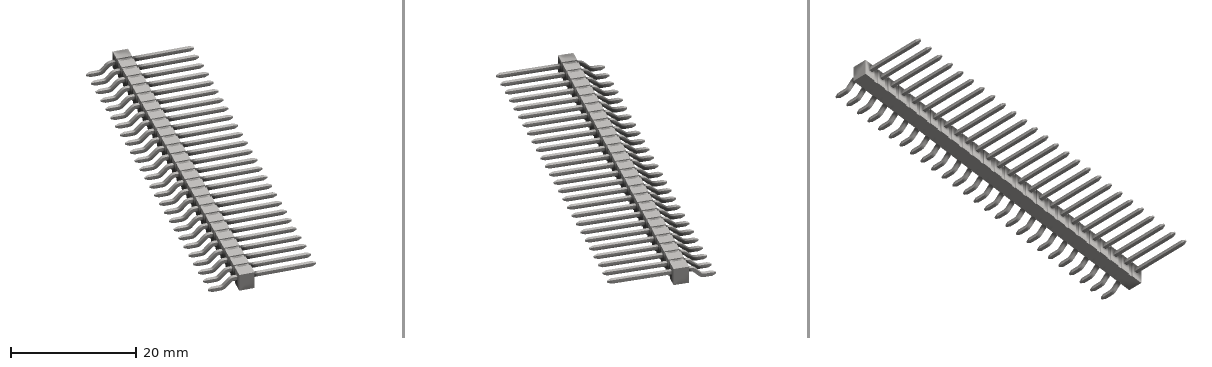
import cadquery as cq
import math

cell_count = 26
length = 66.05
pitch = length / cell_count
depth = 2.6
height = 3.05
cell_width = 1.8
web_width = pitch - cell_width
web_top_inset = 0.2
web_side_inset = 0.1

pin_size = 0.635
tip_size = 0.25
tip_length = 0.65
overall_depth = 18.0
front_reach = 4.8
straight_reach = 0.5
bend_radius = 1.0
bend_angle = math.radians(45)
pin_drop = 1.45

tail_z = pin_size / 2
pin_z = tail_z + pin_drop
front_y = -depth / 2
front_tip_y = front_y - front_reach
back_tip_y = front_tip_y + overall_depth
front_base_y = front_tip_y + tip_length
back_base_y = back_tip_y - tip_length


def make_strip():
    """Bar grooved across its top, front and back between cells, with a plain bottom."""
    bar = cq.Workplane("XY").box(length, depth, height, centered=(True, True, False))
    core = cq.Workplane("XY").box(
        length,
        depth - 2 * web_side_inset,
        height - web_top_inset,
        centered=(True, True, False),
    )
    web_places = [(index * pitch - length / 2, 0) for index in range(1, cell_count)]
    bands = cq.Workplane("XY").pushPoints(web_places).box(
        web_width, depth, height, centered=(True, True, False)
    )
    return bar.cut(bands).union(core)


def make_tip(y, z, direction):
    """Tapered tip whose base is centred at (0, y, z); direction is 1 for +Y, -1 for -Y."""
    base = cq.Plane(origin=(0, y, z), xDir=(1, 0, 0), normal=(0, direction, 0))
    return (
        cq.Workplane(base)
        .rect(pin_size, pin_size)
        .workplane(offset=tip_length)
        .rect(tip_size, tip_size)
        .loft(combine=True)
    )


def make_pin_path():
    """Centre line of a pin: straight through the strip, bent down, then level again."""
    arc_run = bend_radius * math.sin(bend_angle)
    arc_drop = bend_radius * (1 - math.cos(bend_angle))
    mid_arc_run = bend_radius * math.sin(bend_angle / 2)
    mid_arc_drop = bend_radius * (1 - math.cos(bend_angle / 2))
    slope_drop = pin_drop - 2 * arc_drop
    slope_run = slope_drop / math.tan(bend_angle)

    bend_start_y = front_y - straight_reach
    bend_end_y = bend_start_y - 2 * arc_run - slope_run
    return (
        cq.Workplane("YZ")
        .moveTo(back_base_y, pin_z)
        .lineTo(bend_start_y, pin_z)
        .threePointArc(
            (bend_start_y - mid_arc_run, pin_z - mid_arc_drop),
            (bend_start_y - arc_run, pin_z - arc_drop),
        )
        .lineTo(bend_end_y + arc_run, tail_z + arc_drop)
        .threePointArc(
            (bend_end_y + mid_arc_run, tail_z + mid_arc_drop),
            (bend_end_y, tail_z),
        )
        .lineTo(front_base_y, tail_z)
    )


def make_pin():
    """One pin, centred on X = 0."""
    section = cq.Plane(origin=(0, back_base_y, pin_z), xDir=(1, 0, 0), normal=(0, -1, 0))
    wire = cq.Workplane(section).rect(pin_size, pin_size).sweep(make_pin_path())
    back_tip = make_tip(back_base_y, pin_z, 1)
    front_tip = make_tip(front_base_y, tail_z, -1)
    return wire.union(back_tip).union(front_tip)


def make_header():
    """The strip with one pin through the middle of each pitch, all one continuous solid."""
    pin = make_pin().val()
    pin_places = [(index + 0.5) * pitch - length / 2 for index in range(cell_count)]
    pins = [pin.translate(cq.Vector(pin_x, 0, 0)) for pin_x in pin_places]
    fused = make_strip().val().fuse(*pins)
    return cq.Workplane(fused.Solids()[0])


header = make_header()

result = cq.Compound.makeCompound([header.val()])